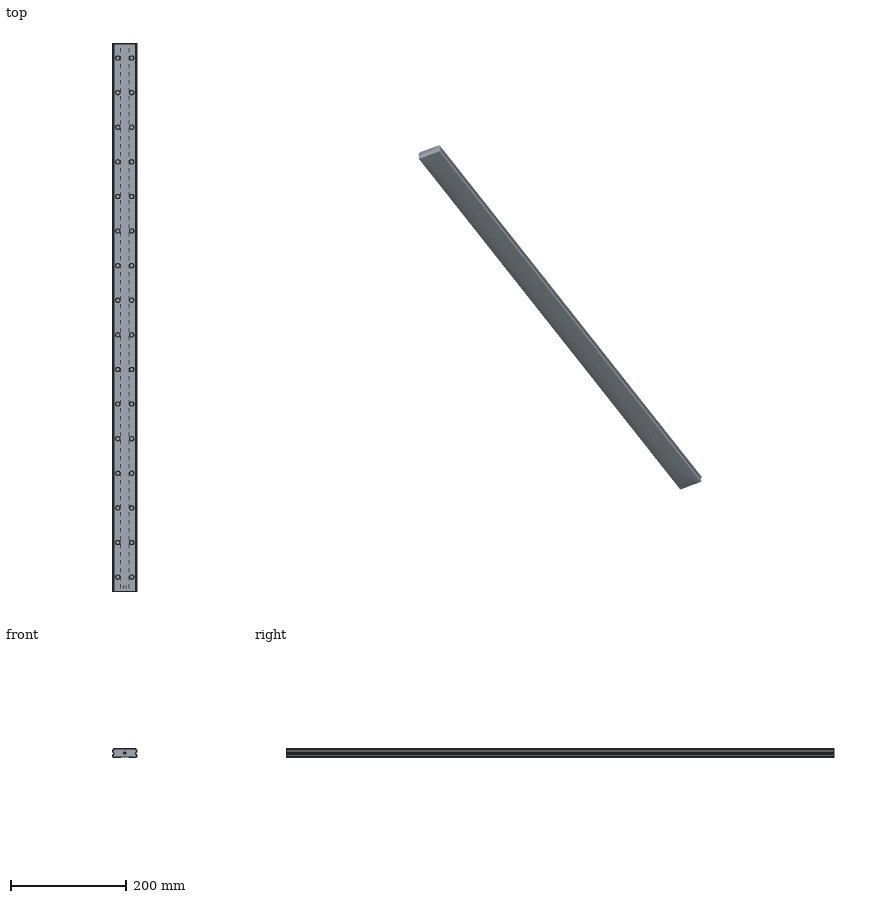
import cadquery as cq
import math

RAIL_WIDTH = 42.0
RAIL_LENGTH = 950.0
RAIL_HEIGHT = 15.0

CORNER_COVE_RADIUS = 2.0
BOTTOM_CHAMFER = 1.2

RELIEF_WIDTH = 15.0
RELIEF_DEPTH = 0.3

GROOVE_DEPTH = 2.0
GROOVE_MOUTH_HEIGHT = 5.0
GROOVE_FLOOR_HEIGHT = 2.0
GROOVE_CENTRE_Z = 7.0

HOLE_DIAMETER = 7.5
HOLE_DEPTH = 0.2
HOLE_PITCH = 60.0
HOLES_PER_ROW = 16
ROW_SPACING = 24.0

END_HOLE_DIAMETER = 4.0
END_HOLE_DEPTH = 10.0
END_HOLE_Z = RAIL_HEIGHT / 2


def rail_body():
    """Extrude the symmetrical cross-section to the full rail length."""
    side = RAIL_WIDTH / 2
    relief_side = RELIEF_WIDTH / 2
    groove_floor = side - GROOVE_DEPTH
    mouth_bottom = GROOVE_CENTRE_Z - GROOVE_MOUTH_HEIGHT / 2
    mouth_top = GROOVE_CENTRE_Z + GROOVE_MOUTH_HEIGHT / 2
    floor_bottom = GROOVE_CENTRE_Z - GROOVE_FLOOR_HEIGHT / 2
    floor_top = GROOVE_CENTRE_Z + GROOVE_FLOOR_HEIGHT / 2
    cove_middle = CORNER_COVE_RADIUS * math.sqrt(0.5)
    half_profile = (
        cq.Workplane("XZ")
        .moveTo(0, RELIEF_DEPTH)
        .lineTo(relief_side, RELIEF_DEPTH)
        .lineTo(relief_side, 0)
        .lineTo(side - BOTTOM_CHAMFER, 0)
        .lineTo(side, BOTTOM_CHAMFER)
        .lineTo(side, mouth_bottom)
        .lineTo(groove_floor, floor_bottom)
        .lineTo(groove_floor, floor_top)
        .lineTo(side, mouth_top)
        .lineTo(side, RAIL_HEIGHT - CORNER_COVE_RADIUS)
        .threePointArc(
            (side - cove_middle, RAIL_HEIGHT - cove_middle),
            (side - CORNER_COVE_RADIUS, RAIL_HEIGHT),
        )
        .lineTo(0, RAIL_HEIGHT)
    )
    return half_profile.mirrorY().extrude(RAIL_LENGTH / 2, both=True)


def sink_top_holes(body):
    """Sink the two rows of shallow holes into the top face."""
    return (
        body.faces(">Z")
        .workplane(origin=(0, 0, RAIL_HEIGHT))
        .rarray(ROW_SPACING, HOLE_PITCH, 2, HOLES_PER_ROW)
        .hole(HOLE_DIAMETER, HOLE_DEPTH)
    )


def drill_end_hole(body):
    """Drill the blind hole in the middle of the -Y end face."""
    return (
        body.faces("<Y")
        .workplane(origin=(0, -RAIL_LENGTH / 2, END_HOLE_Z))
        .hole(END_HOLE_DIAMETER, END_HOLE_DEPTH)
    )


result = drill_end_hole(sink_top_holes(rail_body()))